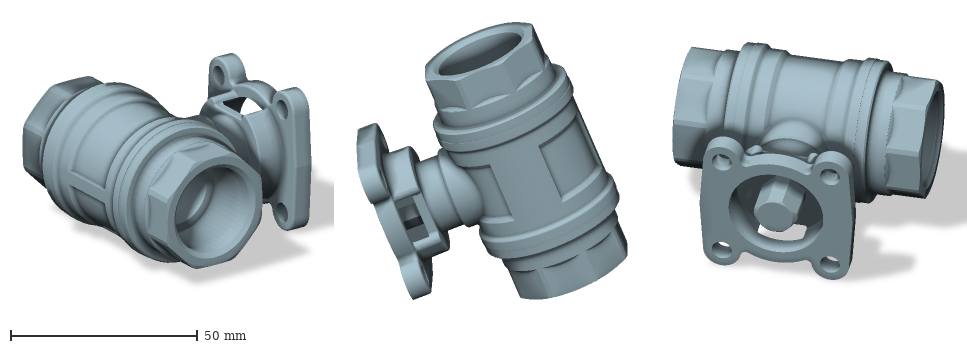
import cadquery as cq
import math


valve_length = 68.0
bore_diameter = 19.0

connector_diameter = 33.2
connector_collar_diameter = 38.6
octagon_corner_diameter = 33.0
octagon_flats = 31.0
octagon_length = 9.45
connector_mouth_diameter = 26.6
thread_diameter = 24.12
mouth_chamfer_length = 1.2
collar_face_x = 19.5
collar_chamfer = 0.4
collar_fillet = 0.5
octagon_end_chamfer = 0.4

collar_diameter = 39.0
barrel_diameter = 37.0
joint_x = 16.5
collar_inner_x = 14.0
barrel_start_x = 13.0
collar_edge_fillet = 0.5

panel_diameter = 35.0
panel_floor_half_length = 7.4
panel_top_half_length = 8.8
panel_fillet = 0.5
side_rib_half_width = 1.75
bottom_pad_half_width = 7.0

boss_diameter = 22.5
boss_top_y = 21.3
boss_chamfer = 0.5
neck_diameter = 20.0
neck_root_fillet = 0.4
neck_top_fillet = 0.25
boss_root_fillet = 0.6

flange_face_y = 40.65
flange_thickness = 5.3
flange_half_height = 20.0
flange_half_width = 21.0
flange_ring_diameter = 33.0
lobe_radius = 5.15
bolt_circle_diameter = 42.0
bolt_hole_diameter = 5.5
lobe_blend = 1.5
flange_edge_fillet = 0.75

cup_diameter = 26.0
hub_top_diameter = 30.5
hub_bottom_diameter = 30.0
hub_bottom_y = 28.0
cup_floor_y = 30.7
window_half_width = 6.3
floor_half_height = 10.8
hub_edge_fillet = 0.5
hub_root_fillet = 0.6
wall_end_fillet = 1.5
floor_corner_fillet = 0.8
sill_fillet = 0.35

stem_diameter = 12.0
stem_top_y = 42.25
stem_bottom_y = 14.0
stem_square_flats = 10.0
stem_side_flats = 10.2
stem_tip_diameter = 9.8
stem_tip_chamfer = (stem_diameter - stem_tip_diameter) / 2

margin = 0.1

half_length = valve_length / 2
flange_underside_y = flange_face_y - flange_thickness


def revolve_about_pipe(points):
    """Solid of revolution about X from (x, radius) points."""
    return cq.Workplane("XY").polyline(points).close().revolve(360, (0, 0, 0), (1, 0, 0))


def plane_at(y):
    """Plane across the stem axis at height y, facing +Y."""
    return cq.Workplane(cq.Plane(origin=(0, y, 0), xDir=(1, 0, 0), normal=(0, 1, 0)))


def disc(diameter, bottom_y, top_y):
    return plane_at(bottom_y).circle(diameter / 2).extrude(top_y - bottom_y)


def centred_box(size_x, bottom_y, top_y, size_z):
    return plane_at(bottom_y).rect(size_x, size_z).extrude(top_y - bottom_y)


def edges_within(half_x, low_y, high_y, half_z):
    """Selector of edges lying wholly in a box centred on the stem axis, with a little margin."""
    low = (-half_x - margin, low_y - margin, -half_z - margin)
    high = (half_x + margin, high_y + margin, half_z + margin)
    return cq.selectors.BoxSelector(low, high, boundingbox=True)


def make_end_connector():
    """Connector on the +X end: collar, round shoulder and octagon, threaded inside."""
    collar_radius = connector_collar_diameter / 2
    shoulder_radius = connector_diameter / 2
    corner_radius = octagon_corner_diameter / 2
    flat_radius = octagon_flats / 2
    octagon_start = half_length - octagon_length

    blank = revolve_about_pipe([
        (joint_x, 0),
        (joint_x, collar_radius),
        (collar_face_x - collar_chamfer, collar_radius),
        (collar_face_x, collar_radius - collar_chamfer),
        (collar_face_x, shoulder_radius),
        (octagon_start, shoulder_radius),
        (octagon_start, corner_radius),
        (half_length - octagon_end_chamfer, corner_radius),
        (half_length, flat_radius),
        (half_length, 0),
    ])
    blank = blank.edges(
        cq.selectors.BoxSelector(
            (collar_face_x - 0.1, -collar_radius, -collar_radius),
            (collar_face_x + 0.1, collar_radius, collar_radius),
        )
    ).edges(cq.selectors.RadiusNthSelector(0)).fillet(collar_fillet)

    octagon_sharp_diameter = octagon_flats / math.cos(math.pi / 8)
    octagon = (
        cq.Workplane("YZ", origin=(collar_face_x, 0, 0))
        .polygon(8, octagon_sharp_diameter)
        .extrude(half_length - collar_face_x)
        .rotate((0, 0, 0), (1, 0, 0), 22.5)
    )
    runout_depth = connector_collar_diameter / 2 - flat_radius
    shoulder_depth = connector_collar_diameter / 2 - shoulder_radius
    runout_end = octagon_start + shoulder_radius - flat_radius
    shoulder = revolve_about_pipe([
        (joint_x, 0),
        (joint_x, collar_radius),
        (octagon_start - shoulder_depth, collar_radius),
        (octagon_start - shoulder_depth + runout_depth, flat_radius),
        (runout_end, 0),
    ])
    blank = blank.intersect(octagon.union(shoulder))

    thread_radius = thread_diameter / 2
    passage = revolve_about_pipe([
        (joint_x, 0),
        (joint_x, thread_radius),
        (half_length - mouth_chamfer_length, thread_radius),
        (half_length, connector_mouth_diameter / 2),
        (half_length, 0),
    ])
    return blank.cut(passage)


def make_panel_cutter():
    """Shallow sloped-ended band around the barrel, left out at the side ribs and the bottom pad."""
    outer_radius = collar_diameter / 2
    panel_radius = panel_diameter / 2
    slope = (panel_top_half_length - panel_floor_half_length) / (barrel_diameter / 2 - panel_radius)
    outer_half_length = panel_floor_half_length + slope * (outer_radius - panel_radius)
    band = revolve_about_pipe([
        (-panel_floor_half_length, panel_radius),
        (panel_floor_half_length, panel_radius),
        (outer_half_length, outer_radius),
        (-outer_half_length, outer_radius),
    ])
    reach = collar_diameter
    ribs = cq.Workplane("XY").box(reach, reach, 2 * side_rib_half_width)
    pad = (
        cq.Workplane("XY")
        .box(reach, 2 * bottom_pad_half_width, reach)
        .translate((0, 0, -reach / 2))
    )
    panels = band.cut(ribs).cut(pad)
    floor_edges = edges_within(panel_floor_half_length, -outer_radius, outer_radius, outer_radius)
    return panels.edges(floor_edges).fillet(panel_fillet)


def make_barrel():
    collar_radius = collar_diameter / 2
    barrel_radius = barrel_diameter / 2
    barrel = revolve_about_pipe([
        (-joint_x, 0),
        (-joint_x, collar_radius),
        (-collar_inner_x, collar_radius),
        (-barrel_start_x, barrel_radius),
        (barrel_start_x, barrel_radius),
        (collar_inner_x, collar_radius),
        (joint_x, collar_radius),
        (joint_x, 0),
    ])
    for side in (-1, 1):
        collar_edges = cq.selectors.BoxSelector(
            (side * (barrel_start_x - 0.1), -collar_radius, -collar_radius),
            (side * (collar_inner_x + 0.1), collar_radius, collar_radius),
        )
        barrel = barrel.edges(collar_edges).edges("%CIRCLE").fillet(collar_edge_fillet)
    return barrel.cut(make_panel_cutter())


def make_flange():
    """Plate with four bolt lobes, bowed sides and a central ring."""
    bolt_offset = bolt_circle_diameter / 2 * math.sin(math.pi / 4)
    ridge_to_lobe_x = flange_half_width - bolt_offset
    ridge_to_lobe = math.hypot(ridge_to_lobe_x, bolt_offset)
    tangent_angle = math.atan2(bolt_offset, ridge_to_lobe_x) - math.acos(lobe_radius / ridge_to_lobe)
    tangent_x = bolt_offset + lobe_radius * math.cos(tangent_angle)
    tangent_z = bolt_offset - lobe_radius * math.sin(tangent_angle)
    plate = disc(flange_ring_diameter, flange_underside_y, flange_face_y)
    for side in (-1, 1):
        plate = plate.union(
            plane_at(flange_underside_y)
            .polyline([
                (0, 0),
                (side * bolt_offset, -bolt_offset),
                (side * tangent_x, -tangent_z),
                (side * flange_half_width, 0),
                (side * tangent_x, tangent_z),
                (side * bolt_offset, bolt_offset),
            ])
            .close()
            .extrude(flange_thickness)
        )
    bolt_points = [(x, z) for x in (-bolt_offset, bolt_offset) for z in (-bolt_offset, bolt_offset)]
    lobes = plane_at(flange_underside_y).pushPoints(bolt_points).circle(lobe_radius).extrude(flange_thickness)
    plate = plate.union(lobes).clean()
    notches = cq.selectors.BoxSelector(
        (-bolt_offset + 1, flange_underside_y, -flange_half_height),
        (bolt_offset - 1, flange_face_y, flange_half_height),
    )
    plate = plate.edges("|Y").edges(notches).fillet(lobe_blend)
    plate = plate.faces("<Y").edges().fillet(flange_edge_fillet)
    bolt_holes = plane_at(flange_underside_y).pushPoints(bolt_points).circle(bolt_hole_diameter / 2)
    return plate.cut(bolt_holes.extrude(flange_thickness))


def make_hub():
    """Slightly tapered drum with a window through both Z sides; its cup is cut out later."""
    radius = hub_bottom_diameter / 2
    hub_height = flange_underside_y - hub_bottom_y
    window_width = 2 * window_half_width
    hub = (
        plane_at(hub_bottom_y)
        .circle(radius)
        .workplane(offset=hub_height)
        .circle(hub_top_diameter / 2)
        .loft(ruled=True)
    )
    for side in (-1, 1):
        notch = centred_box(window_width, hub_bottom_y, flange_underside_y, 2 * radius)
        hub = hub.cut(notch.translate((0, 0, side * (floor_half_height + radius))))

    wall_end_z = math.sqrt(radius**2 - window_half_width**2)
    mid_height_y = hub_bottom_y + hub_height / 2
    for side in (-1, 1):
        wall_ends = cq.selectors.BoxSelector(
            (-window_half_width - 0.5, mid_height_y - 0.5, side * wall_end_z - 0.5),
            (window_half_width + 0.5, mid_height_y + 0.5, side * wall_end_z + 0.5),
        )
        hub = hub.edges(wall_ends).fillet(wall_end_fillet)

    hub = hub.cut(centred_box(window_width, cup_floor_y, flange_underside_y, 4 * radius))

    sills = edges_within(window_half_width, cup_floor_y, cup_floor_y, floor_half_height)
    hub = hub.edges("|X").edges(sills).fillet(sill_fillet)
    floor_corners = edges_within(window_half_width, hub_bottom_y, cup_floor_y, floor_half_height)
    hub = hub.edges("|Y").edges(floor_corners).fillet(floor_corner_fillet)
    return hub.faces("<Y").edges().fillet(hub_edge_fillet)


def make_barrel_with_boss():
    boss_radius = boss_diameter / 2
    boss = disc(boss_diameter, 0, boss_top_y).faces(">Y").chamfer(boss_chamfer)
    neck = disc(neck_diameter, 0, hub_bottom_y)
    barrel = make_barrel().union(boss)
    boss_root = edges_within(boss_radius, barrel_diameter / 4, barrel_diameter / 2, boss_radius)
    barrel = barrel.edges(boss_root).fillet(boss_root_fillet).union(neck)
    neck_root = edges_within(neck_diameter / 2, boss_top_y, boss_top_y, neck_diameter / 2)
    return barrel.edges(neck_root).fillet(neck_root_fillet)


def make_head():
    """Hub, flange and upper part of the neck, with fillets where they meet."""
    head = make_hub().union(make_flange())
    hub_radius = hub_top_diameter / 2
    hub_root = edges_within(hub_radius, flange_underside_y, flange_underside_y, hub_radius)
    head = head.edges(hub_root).fillet(hub_root_fillet)
    head = head.cut(disc(cup_diameter, cup_floor_y, flange_face_y))
    neck_middle_y = (boss_top_y + hub_bottom_y) / 2
    head = head.union(disc(neck_diameter, neck_middle_y, hub_bottom_y))
    neck_top = edges_within(neck_diameter / 2, hub_bottom_y, hub_bottom_y, neck_diameter / 2)
    return head.edges(neck_top).fillet(neck_top_fillet)


def make_body():
    body = make_barrel_with_boss().union(make_head())
    bore = cq.Workplane("YZ", origin=(-joint_x, 0, 0)).circle(bore_diameter / 2).extrude(2 * joint_x)
    stem_socket = disc(stem_diameter, stem_bottom_y, cup_floor_y)
    return body.cut(bore).cut(stem_socket)


def make_stem():
    """Round shank under a head with four diagonal flats and two side flats."""
    shank = disc(stem_diameter, stem_bottom_y, stem_top_y).faces(">Y").chamfer(stem_tip_chamfer)
    square = centred_box(stem_square_flats, cup_floor_y, stem_top_y, stem_square_flats)
    square = square.rotate((0, 0, 0), (0, 1, 0), 45)
    side_flats = centred_box(stem_diameter, cup_floor_y, stem_top_y, stem_side_flats)
    lower_shank = disc(stem_diameter, stem_bottom_y, cup_floor_y)
    return shank.intersect(square.intersect(side_flats).union(lower_shank))


body = make_body()
connector = make_end_connector()
connectors = [connector.rotate((0, 0, 0), (0, 1, 0), turn) for turn in (0, 180)]
stem = make_stem()

result = cq.Compound.makeCompound([body.val(), *[c.val() for c in connectors], stem.val()])